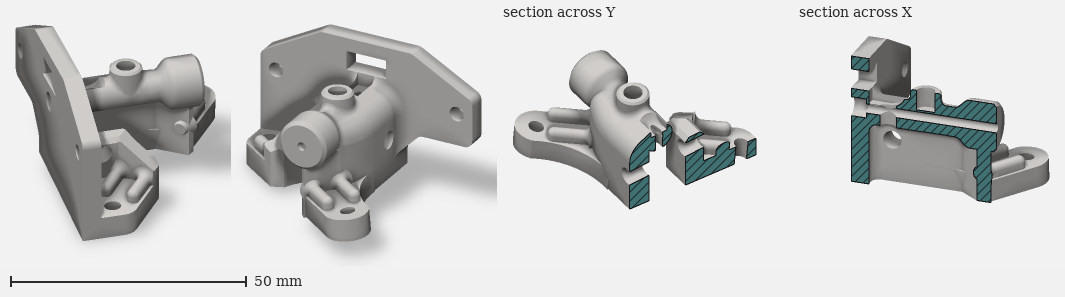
import cadquery as cq
import math

SEAM_MARGIN = 0.2
OVERLAP = 1.0
LARGE = 150.0

PLATE_HALF_WIDTH = 25.5
PLATE_THICKNESS = 4.1
PLATE_TOP = 11.7
PLATE_TOP_HALF_WIDTH = 10.85
PLATE_SHOULDER_Z = 3.7
PLATE_EAR_BOTTOM = -7.4
PLATE_LOW_CORNER_Z = -19.81
PLATE_CORNER_RADIUS = 1.9
NOTCH_CORNER_Z = -12.5
SCREW_X = 21.75
SCREW_DIAMETER = 3.4
WINDOW_WIDTH = 9.5
WINDOW_BOTTOM = 4.2
WINDOW_TOP = 8.6

TILT = math.radians(5.2)
FLANGE_THICKNESS = 5.0
UNDERSIDE_Z = PLATE_LOW_CORNER_Z + PLATE_HALF_WIDTH * math.tan(TILT)
FLANGE_TOP_Z = UNDERSIDE_Z + FLANGE_THICKNESS / math.cos(TILT)

TUBE_RADIUS = 3.5
BORE_DIAMETER = 2.0
LINER_DIAMETER = 4.3
LINER_DEPTH = 3.5
WEB_LEFT = -7.75
WEB_RIGHT = -2.6
WEB_NECK_LEFT = -5.2
WEB_STRAIGHT_END = 15.2
WEB_NECK_Y = 25.3
WEB_END = (0.1, 31.9)
WEB_END_TOP = -3.0
NECK_STEPS = 4
SHOULDER_RADIUS = 5.05
SHOULDER_CENTRE_Z = -3.0
NECK_CENTRE_Z = -2.1
ROOT_FILLET = 1.8
BODY_LOW_Z = -25.0
CROSS_HOLE_DIAMETER = 4.1
CROSS_HOLE_Z = -7.64
SIDE_HOLE_Y = 8.44
SLOT_WIDTH = 1.9
SLOT_LENGTH = 3.6
CHANNEL_WIDTH = 4.1
CHANNEL_FLOOR_Z = 1.2
CHANNEL_ARC_RADIUS = 4.1

COLLAR_RADIUS = 5.62
COLLAR_END = 33.0
COLLAR_CHAMFER = 0.75
COLLAR_NECK_Y = 23.5
COLLAR_ROUND = 2.1
COLLAR_NECK_ROUND = 1.5

FITTING_RADIUS = 3.5
FITTING_Y = 16.95
FITTING_TOP = 6.05
FITTING_CHAMFER = 0.45
FITTING_HOLE_DIAMETER = 4.1
FITTING_HOLE_DEPTH = 4.5
FITTING_FILLET = 1.1

EDGE_ANGLE = math.radians(39)
LEFT_HOLE = (-12.15, 35.1)
RIGHT_HOLE = (21.8, 7.7)
FLANGE_HOLE_WIDTH = 3.1
FLANGE_HOLE_LENGTH = 3.7
LEFT_END_CENTRE = (-11.9, 35.3)
FLANGE_END_RADIUS = 4.75
FLANGE_ROUNDING = 4.0
RIGHT_LEFT_X = 6.9
RIGHT_TIP = (14.5, 20.1)
WALL_TOP_Z = -4.4
WALL_CHAMFER = 1.0
WALL_FALL_ANGLE = 37
WALL_ROOT_FILLET = 1.3

LEFT_FLANGE_TIP = (1.3, 30.5)
LEFT_FLANGE_MID = (-9.2, 24.1)
LEFT_FLANGE_FOOT = (-7.6, 15.2)
LEFT_SIDE_MID = (-16.4, 33.5)
LEFT_SIDE_END = (-15.65, 31.9)
LEFT_TIP_ARC_Y = 22.0
LEFT_TIP_ARC_MID = (-1.4, 26.7)
RIGHT_ARC_START = 14.5
RIGHT_ARC_MID = (9.4, 16.6)
RIGHT_ARC_END = (11.5, 19.5)
WALL_OUTER_CORNER = (16.75, 18.28)
WALL_INNER_CORNER = (11.7, 11.7)

RIB_RADIUS = 1.3
RIB_SIDE_HEIGHT = 1.4
RIB_ROOT_FILLET = 1.6
RIB_EMBED = 2.5
LEFT_RIB_STARTS = ((-7.5, 35.3), (-11.2, 30.2))
RIGHT_RIB_STARTS = ((20.8, 12.5), (17.2, 7.45))

SLAB = cq.Plane(
    origin=(0, 0, FLANGE_TOP_Z),
    xDir=(math.cos(TILT), 0, -math.sin(TILT)),
    normal=(math.sin(TILT), 0, math.cos(TILT)),
)


def frontal(y):
    """XZ workplane at the given y; extruding by a negative length goes toward +Y."""
    return cq.Workplane("XZ", origin=(0, y, 0))


def plate_blank(depth):
    """Plate outline with rounded corners, from y = 0 to the given depth."""
    low_left_z = UNDERSIDE_Z - WEB_LEFT * math.tan(TILT)
    outline = [
        (-PLATE_HALF_WIDTH, PLATE_EAR_BOTTOM),
        (WEB_LEFT + NOTCH_CORNER_Z - PLATE_EAR_BOTTOM, PLATE_EAR_BOTTOM),
        (WEB_LEFT, NOTCH_CORNER_Z),
        (WEB_LEFT, low_left_z),
        (PLATE_HALF_WIDTH, PLATE_LOW_CORNER_Z),
        (PLATE_HALF_WIDTH, PLATE_SHOULDER_Z),
        (PLATE_TOP_HALF_WIDTH, PLATE_TOP),
        (-PLATE_TOP_HALF_WIDTH, PLATE_TOP),
        (-PLATE_HALF_WIDTH, PLATE_SHOULDER_Z),
    ]
    corners = cq.selectors.BoxSelector(
        (-LARGE, -LARGE, NOTCH_CORNER_Z - SEAM_MARGIN),
        (LARGE, LARGE, PLATE_TOP + SEAM_MARGIN),
    )
    blank = frontal(0).polyline(outline).close().extrude(-depth)
    return blank.edges("|Y").edges(corners).fillet(PLATE_CORNER_RADIUS)


def body_section(y, left, centre_z):
    """Tube blended by a tangent slope and a round shoulder into the web."""
    cx = left + SHOULDER_RADIUS
    distance = math.hypot(cx, centre_z)
    toward = math.atan2(centre_z, cx)
    angle = toward - math.acos((TUBE_RADIUS - SHOULDER_RADIUS) / distance) + 2 * math.pi
    nx, nz = math.cos(angle), math.sin(angle)
    mid = (angle + math.pi) / 2
    foot = -math.sqrt(TUBE_RADIUS ** 2 - WEB_RIGHT ** 2)
    return (
        frontal(y)
        .moveTo(left, BODY_LOW_Z)
        .lineTo(left, centre_z)
        .threePointArc(
            (cx + SHOULDER_RADIUS * math.cos(mid), centre_z + SHOULDER_RADIUS * math.sin(mid)),
            (cx + SHOULDER_RADIUS * nx, centre_z + SHOULDER_RADIUS * nz))
        .lineTo(TUBE_RADIUS * nx, TUBE_RADIUS * nz)
        .threePointArc((TUBE_RADIUS, 0), (WEB_RIGHT, foot))
        .lineTo(WEB_RIGHT, BODY_LOW_Z)
        .close()
    )


def body():
    """Straight length, then a curved length whose left side draws in toward the neck."""
    straight = body_section(0, WEB_LEFT, SHOULDER_CENTRE_Z).extrude(-WEB_STRAIGHT_END)
    wires = []
    for step in range(NECK_STEPS + 1):
        travel = step / NECK_STEPS
        blend = travel ** 2
        y = WEB_STRAIGHT_END + travel * (WEB_NECK_Y - WEB_STRAIGHT_END)
        left = WEB_LEFT + blend * (WEB_NECK_LEFT - WEB_LEFT)
        centre_z = SHOULDER_CENTRE_Z + blend * (NECK_CENTRE_Z - SHOULDER_CENTRE_Z)
        wires.append(body_section(y, left, centre_z).wire().val())
    curved = cq.Workplane(cq.Solid.makeLoft(wires, False))
    return straight.union(curved).union(neck_web())


def neck_web():
    """End of the web below the collar, cut off square to the left flange ribs."""
    return (
        cq.Workplane("XY", origin=(0, 0, BODY_LOW_Z))
        .polyline([
            (WEB_RIGHT, WEB_NECK_Y - OVERLAP),
            (WEB_NECK_LEFT, WEB_NECK_Y - OVERLAP),
            (WEB_NECK_LEFT, WEB_NECK_Y),
            WEB_END,
            LEFT_FLANGE_TIP,
        ])
        .close()
        .extrude(WEB_END_TOP - BODY_LOW_Z)
    )


def root_flare():
    """Fillet between the body and the back of the plate, trimmed to the plate outline."""
    wall = cq.Workplane().box(LARGE, PLATE_THICKNESS, -2 * BODY_LOW_Z, centered=(True, False, True))
    stub = body_section(0, WEB_LEFT, SHOULDER_CENTRE_Z).extrude(-WEB_STRAIGHT_END)
    seam = cq.selectors.BoxSelector(
        (WEB_LEFT - SEAM_MARGIN, PLATE_THICKNESS - SEAM_MARGIN, BODY_LOW_Z + SEAM_MARGIN),
        (TUBE_RADIUS + SEAM_MARGIN, PLATE_THICKNESS + SEAM_MARGIN, TUBE_RADIUS + SEAM_MARGIN),
    )
    joined = wall.union(stub).edges(seam).fillet(ROOT_FILLET)
    return joined.intersect(plate_blank(PLATE_THICKNESS + ROOT_FILLET))


def collar():
    """Turned collar that necks down at 45 degrees, with rounded transitions, to the tube."""
    r = COLLAR_RADIUS
    diagonal = math.sqrt(0.5)
    convex_rise = COLLAR_ROUND * diagonal
    concave_rise = COLLAR_NECK_ROUND * diagonal
    convex_inset = COLLAR_ROUND - convex_rise
    concave_inset = COLLAR_NECK_ROUND - concave_rise
    slope = r - TUBE_RADIUS - convex_inset - concave_inset
    shoulder_y = COLLAR_NECK_Y + concave_rise + slope + convex_rise
    return (
        cq.Workplane("XY")
        .moveTo(0, COLLAR_END)
        .lineTo(r - COLLAR_CHAMFER, COLLAR_END)
        .lineTo(r, COLLAR_END - COLLAR_CHAMFER)
        .lineTo(r, shoulder_y)
        .radiusArc((r - convex_inset, shoulder_y - convex_rise), COLLAR_ROUND)
        .lineTo(TUBE_RADIUS + concave_inset, COLLAR_NECK_Y + concave_rise)
        .radiusArc((TUBE_RADIUS, COLLAR_NECK_Y), -COLLAR_NECK_ROUND)
        .lineTo(0, COLLAR_NECK_Y + OVERLAP)
        .close()
        .revolve(360, (0, 0, 0), (0, 1, 0))
    )


def fitting():
    """Short upright connector standing on the tube axis."""
    return (
        cq.Workplane("XY", origin=(0, FITTING_Y, 0))
        .circle(FITTING_RADIUS)
        .extrude(FITTING_TOP)
        .faces(">Z")
        .chamfer(FITTING_CHAMFER)
    )


def on_slab(x, y):
    """Local coordinates, in the tilted flange top, of the point above plan position (x, y)."""
    return x / math.cos(TILT), y


def left_flange():
    """Tilted lug with a rounded end, sweeping into the web by a concave arc."""
    cx, cy = LEFT_END_CENTRE
    r = FLANGE_END_RADIUS
    ex, ey = math.sin(EDGE_ANGLE), math.cos(EDGE_ANGLE)
    outline = (
        cq.Workplane(SLAB)
        .moveTo(cx + r * ex, cy + r * ey)
        .threePointArc((cx - r * ex, cy + r * ey), (cx - r, cy))
        .threePointArc(LEFT_SIDE_MID, LEFT_SIDE_END)
        .threePointArc(LEFT_FLANGE_MID, LEFT_FLANGE_FOOT)
        .lineTo(WEB_RIGHT, LEFT_FLANGE_FOOT[1])
        .lineTo(WEB_RIGHT, LEFT_TIP_ARC_Y)
        .threePointArc(LEFT_TIP_ARC_MID, LEFT_FLANGE_TIP)
        .close()
    )
    return outline.extrude(-FLANGE_THICKNESS)


def right_outline(plane):
    """Open inner edge of the right flange, from the plate to its tip."""
    return (
        plane
        .moveTo(RIGHT_LEFT_X, 0)
        .lineTo(RIGHT_LEFT_X, RIGHT_ARC_START)
        .threePointArc(RIGHT_ARC_MID, RIGHT_ARC_END)
        .lineTo(*RIGHT_TIP)
    )


def right_column():
    """Upright prism over the whole plan outline of the right flange."""
    edge_drop = (PLATE_HALF_WIDTH - RIGHT_TIP[0]) * math.tan(EDGE_ANGLE)
    column = (
        right_outline(cq.Workplane("XY", origin=(0, 0, BODY_LOW_Z)))
        .lineTo(PLATE_HALF_WIDTH, RIGHT_TIP[1] - edge_drop)
        .lineTo(PLATE_HALF_WIDTH, 0)
        .close()
        .extrude(-BODY_LOW_Z)
    )
    corner = cq.selectors.BoxSelector(
        (PLATE_HALF_WIDTH - SEAM_MARGIN, PLATE_THICKNESS, BODY_LOW_Z),
        (PLATE_HALF_WIDTH + SEAM_MARGIN, RIGHT_TIP[1], 0),
    )
    return column.edges("|Z").edges(corner).fillet(FLANGE_ROUNDING)


def right_flange():
    return right_column().intersect(slab_layer())


def slab_layer():
    """Unbounded tilted layer as thick as the flanges."""
    return cq.Workplane(SLAB).rect(LARGE, LARGE).extrude(-FLANGE_THICKNESS)


def right_wall():
    """Raised wall along the inner edge of the right flange, falling away to its tip."""
    base = UNDERSIDE_Z - RIGHT_TIP[0] * math.tan(TILT) + FLANGE_THICKNESS / 2
    ix, iy = WALL_INNER_CORNER
    wall = (
        right_outline(cq.Workplane("XY", origin=(0, 0, base)))
        .lineTo(*WALL_OUTER_CORNER)
        .lineTo(ix, iy)
        .lineTo(ix, 0)
        .close()
        .extrude(WALL_TOP_Z - base)
    )
    ridge = cq.Workplane("XY", origin=(ix, iy, WALL_TOP_Z)).transformed(
        rotate=(0, 0, 90 - math.degrees(EDGE_ANGLE)))
    fall = (
        ridge.transformed(rotate=(0, WALL_FALL_ANGLE, 0))
        .rect(LARGE, LARGE)
        .extrude(PLATE_HALF_WIDTH)
    )
    wall = wall.cut(fall)
    straight_rims = wall.edges("|Y and >Z").vals()
    curved_rims = [
        edge for edge in wall.edges("not %LINE").vals() if edge.Center().z > base + OVERLAP
    ]
    wall = wall.newObject(straight_rims + curved_rims).chamfer(WALL_CHAMFER)
    return wall.union(right_wall_root(wall))


def right_wall_root(wall):
    """Fillet between the raised wall and the back of the plate."""
    backing = cq.Workplane().box(LARGE, PLATE_THICKNESS, LARGE, centered=(True, False, True))
    joined = backing.union(wall)
    ix = WALL_INNER_CORNER[0]
    seam = cq.selectors.BoxSelector(
        (RIGHT_LEFT_X - SEAM_MARGIN, PLATE_THICKNESS - SEAM_MARGIN, BODY_LOW_Z),
        (ix + SEAM_MARGIN, PLATE_THICKNESS + SEAM_MARGIN, WALL_TOP_Z + SEAM_MARGIN),
    )
    return joined.edges(seam).fillet(WALL_ROOT_FILLET).intersect(right_column())


def rib(start, wall_point, direction):
    """Round-topped rib on a flange: ball end at start, flared where it meets the wall."""
    heading = math.radians(direction)
    length = (
        (wall_point[0] - start[0]) * math.cos(heading)
        + (wall_point[1] - start[1]) * math.sin(heading)
    )
    r = RIB_RADIUS
    f = RIB_ROOT_FILLET
    base = cq.Workplane(SLAB).center(*on_slab(*start)).transformed(rotate=(0, 0, direction))
    sides = (
        base.workplane(offset=-r)
        .center(length / 2, 0)
        .slot2D(length + 2 * r, 2 * r)
        .extrude(r + RIB_SIDE_HEIGHT)
    )
    axis = base.workplane(offset=RIB_SIDE_HEIGHT)
    round_top = (
        axis
        .moveTo(-r, 0)
        .radiusArc((0, r), r)
        .lineTo(length - f, r)
        .radiusArc((length, r + f), -f)
        .lineTo(length + RIB_EMBED, r)
        .lineTo(length + RIB_EMBED, 0)
        .close()
        .revolve(360, (0, 0, 0), (1, 0, 0))
    )
    return sides.union(round_top)


def ribs():
    toward_web = -math.degrees(EDGE_ANGLE)
    toward_wall = toward_web + 180
    left = [rib(start, (WEB_NECK_LEFT, WEB_NECK_Y), toward_web) for start in LEFT_RIB_STARTS]
    right = [
        rib(start, WALL_INNER_CORNER, toward_wall).intersect(right_column())
        for start in RIGHT_RIB_STARTS
    ]
    return left + right


def underside_cut():
    return (
        cq.Workplane(SLAB)
        .workplane(offset=-FLANGE_THICKNESS)
        .rect(LARGE, LARGE)
        .extrude(-PLATE_HALF_WIDTH)
    )


def flange_hole(centre):
    return (
        cq.Workplane(SLAB)
        .center(*on_slab(*centre))
        .ellipse(FLANGE_HOLE_WIDTH / 2, FLANGE_HOLE_LENGTH / 2)
        .extrude(2 * FLANGE_THICKNESS, both=True)
    )


def along_y(diameter, start, end, x=0):
    """Cylinder parallel to Y at z = 0."""
    return frontal(start).center(x, 0).circle(diameter / 2).extrude(start - end)


def channel():
    """Channel in the top of the tube, ending in a concave ramp under the fitting."""
    r = CHANNEL_ARC_RADIUS
    return (
        cq.Workplane("YZ", origin=(-CHANNEL_WIDTH / 2, 0, 0))
        .moveTo(PLATE_THICKNESS, CHANNEL_FLOOR_Z)
        .lineTo(SIDE_HOLE_Y, CHANNEL_FLOOR_Z)
        .radiusArc((SIDE_HOLE_Y + r, CHANNEL_FLOOR_Z + r), -r)
        .lineTo(SIDE_HOLE_Y + r, FITTING_TOP)
        .lineTo(PLATE_THICKNESS, FITTING_TOP)
        .close()
        .extrude(CHANNEL_WIDTH)
    )


def cutters():
    window = (
        frontal(0)
        .center(0, (WINDOW_BOTTOM + WINDOW_TOP) / 2)
        .rect(WINDOW_WIDTH, WINDOW_TOP - WINDOW_BOTTOM)
        .extrude(-PLATE_THICKNESS - 2 * ROOT_FILLET)
    )
    side_slot = (
        cq.Workplane("XY", origin=(0, SIDE_HOLE_Y, BODY_LOW_Z))
        .ellipse(SLOT_WIDTH / 2, SLOT_LENGTH / 2)
        .extrude(2 * -BODY_LOW_Z)
    )
    cross_hole = (
        cq.Workplane("YZ", origin=(-PLATE_HALF_WIDTH, SIDE_HOLE_Y, CROSS_HOLE_Z))
        .circle(CROSS_HOLE_DIAMETER / 2)
        .extrude(2 * PLATE_HALF_WIDTH)
    )
    fitting_hole = (
        cq.Workplane("XY", origin=(0, FITTING_Y, FITTING_TOP - FITTING_HOLE_DEPTH))
        .circle(FITTING_HOLE_DIAMETER / 2)
        .extrude(FITTING_HOLE_DEPTH + OVERLAP)
    )
    bores = [along_y(SCREW_DIAMETER, 0, PLATE_THICKNESS, x) for x in (-SCREW_X, SCREW_X)]
    bores.append(along_y(BORE_DIAMETER, -OVERLAP, COLLAR_END + OVERLAP))
    bores.append(along_y(LINER_DIAMETER, 0, LINER_DEPTH))
    flange_holes = [flange_hole(centre) for centre in (LEFT_HOLE, RIGHT_HOLE)]
    return [window, channel(), side_slot, cross_hole, fitting_hole] + bores + flange_holes


def body_with_fitting():
    """Body joined to the fitting by a fillet round its foot."""
    joined = body().union(fitting())
    reach = FITTING_RADIUS + SEAM_MARGIN
    seam = cq.selectors.BoxSelector(
        (-reach, FITTING_Y - reach, 0),
        (reach, FITTING_Y + reach, TUBE_RADIUS + SEAM_MARGIN),
        boundingbox=True,
    )
    return joined.edges(seam).fillet(FITTING_FILLET)


def build():
    part = body_with_fitting()
    additions = [
        collar(),
        root_flare(),
        plate_blank(PLATE_THICKNESS),
        left_flange(),
        right_flange(),
        right_wall(),
    ]
    for addition in additions + ribs():
        part = part.union(addition)
    for cutter in [underside_cut()] + cutters():
        part = part.cut(cutter)
    return part


result = build()